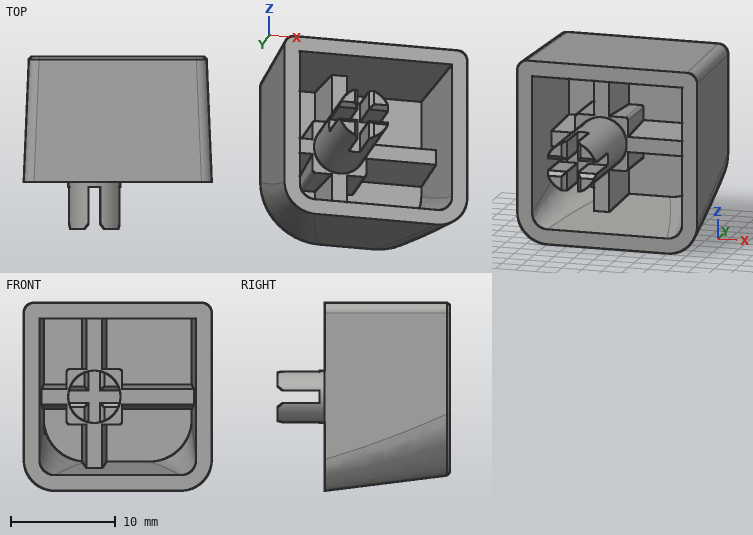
import cadquery as cq
import math

rim_size = 18.0
body_depth = 12.0
wall = 1.5
side_taper = 0.5
bottom_rise = 1.5
back_chamfer = 0.3

top_radius = 1.0
bottom_radius_rim = 3.0
bottom_radius_middle = 4.25
bottom_radius_back = 6.0

stem_x = -2.24
stem_length = 4.5
stem_diameter = 5.0
slot_root = 0.5
vertical_slot_width = 1.1
horizontal_slot_width = 1.18
slot_lead_width = 0.4
slot_lead_depth = 0.5

pad_size = 5.3
pad_corner_radius = 0.3

rib_crest_width = 1.5
rib_draft = 5.0
rib_front = 5.5

half_size = rim_size / 2
floor_y = body_depth - wall
rib_height = floor_y - rib_front
rib_base_width = rib_crest_width + 2 * rib_height * math.tan(math.radians(rib_draft))


def plane_at(y, x=0.0):
    """Plane across the depth at the given Y: local x is +X, local y is +Z, normal is -Y."""
    return cq.Plane(origin=(x, y, 0), xDir=(1, 0, 0), normal=(0, -1, 0))


def corner(outline, start, vertex, end):
    """Run the outline straight to start, then round the square corner at vertex to end."""
    outline = outline.lineTo(*start)
    if start == vertex:
        return outline
    weight = math.sqrt(0.5)
    middle = [
        (1 - weight) * (s + e) + (2 * weight - 1) * v
        for s, v, e in zip(start, vertex, end)
    ]
    return outline.threePointArc(tuple(middle), end)


def section(y, inset, corner_top, corner_bottom):
    """Closed outline of the body at depth y, moved inward by inset."""
    fraction = y / body_depth
    side = half_size - side_taper * fraction - inset
    top = half_size - inset
    bottom = -half_size + bottom_rise * fraction + inset
    side_low = bottom + corner_bottom
    side_high = top - corner_top
    bottom_end = side - corner_bottom
    top_end = side - corner_top

    outline = cq.Workplane(plane_at(y)).moveTo(-bottom_end, bottom)
    outline = corner(outline, (bottom_end, bottom), (side, bottom), (side, side_low))
    outline = corner(outline, (side, side_high), (side, top), (top_end, top))
    outline = corner(outline, (-top_end, top), (-side, top), (-side, side_high))
    outline = corner(outline, (-side, side_low), (-side, bottom), (-bottom_end, bottom))
    return outline.close().val()


def tapered_block(inset, corner_top):
    """Solid through the rim, middle and back outlines, moved inward by inset."""
    stations = (
        (0.0, bottom_radius_rim),
        (body_depth / 2, bottom_radius_middle),
        (body_depth, bottom_radius_back),
    )
    outlines = [section(y, inset, corner_top, radius - inset) for y, radius in stations]
    return cq.Workplane(cq.Solid.makeLoft(outlines))


def make_shell(cavity):
    outside = tapered_block(0.0, top_radius).faces(">Y").chamfer(back_chamfer)
    return outside.cut(cavity)


def make_cavity():
    behind_floor = cq.Workplane(plane_at(body_depth + wall)).rect(rim_size, rim_size).extrude(2 * wall)
    return tapered_block(wall, 0.0).cut(behind_floor)


def cross_profile(points, along_z):
    """Closed (width, Y) outline centred on the stem axis, drawn to be swept along Z or along X."""
    if along_z:
        return cq.Workplane("XY", origin=(stem_x, 0, 0)).polyline(points).close()
    turned = [(y, width) for width, y in points]
    return cq.Workplane("YZ").polyline(turned).close()


def rib(along_z):
    """Drafted rib across the whole cavity, standing on its floor."""
    profile = [
        (-rib_base_width / 2, floor_y),
        (rib_base_width / 2, floor_y),
        (rib_crest_width / 2, rib_front),
        (-rib_crest_width / 2, rib_front),
    ]
    return cross_profile(profile, along_z).extrude(rim_size, both=True)


def make_pad():
    return (
        cq.Workplane(plane_at(floor_y, stem_x))
        .rect(pad_size, pad_size)
        .extrude(rib_height)
        .edges("|Y")
        .fillet(pad_corner_radius)
    )


def slot(width, along_z):
    """Slot across the stem with a widened lead-in at the tip."""
    half = width / 2
    tip = -stem_length
    profile = [
        (-half, -slot_root),
        (half, -slot_root),
        (half, tip + slot_lead_depth),
        (half + slot_lead_width, tip),
        (-half - slot_lead_width, tip),
        (-half, tip + slot_lead_depth),
    ]
    return cross_profile(profile, along_z).extrude(rim_size, both=True)


def make_stem():
    stem = (
        cq.Workplane(plane_at(floor_y, stem_x))
        .circle(stem_diameter / 2)
        .extrude(floor_y + stem_length)
    )
    stem = stem.cut(slot(vertical_slot_width, along_z=True))
    return stem.cut(slot(horizontal_slot_width, along_z=False))


ribs = rib(along_z=True).union(rib(along_z=False))
cavity = make_cavity().cut(ribs).cut(make_pad())
result = make_shell(cavity).union(make_stem())